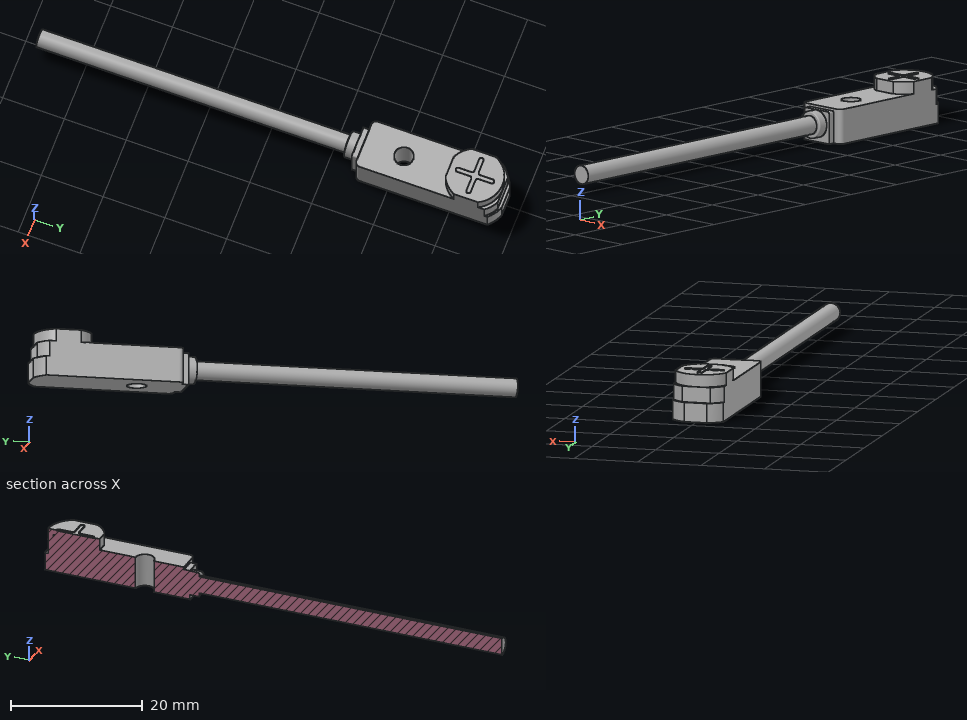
import cadquery as cq

body_width = 8.0
body_length = 23.0
body_height = 5.4
overall_length = 75.5
overall_height = 7.3

head_center_y = -5.0
lower_tip_height = 3.0
lower_tip_radius = 5.3
upper_tip_setback = 0.5
upper_tip_radius = 5.0
rear_corner_radius = 0.8

head_radius = 4.45
head_rear_y = -9.1

cross_length = 6.2
cross_slot_width = 0.7
cross_inner_fillet = 0.35
cross_depth = 0.1

hole_diameter = 3.0
hole_y = -16.5

collar_width = 5.2
collar_height = 5.0
collar_length = 1.0
collar_fillet = 0.3
cable_axis_z = 2.85
sleeve_diameter = 4.2
sleeve_length = 1.5
sleeve_fillet = 0.2
cable_diameter = 2.9

collar_start_y = -body_length
sleeve_start_y = collar_start_y - collar_length
cable_start_y = sleeve_start_y - sleeve_length
cable_length = overall_length + cable_start_y


def box(width, front_y, rear_y, bottom_z, top_z):
    """Box centered on X, from front_y back to rear_y."""
    length = front_y - rear_y
    height = top_z - bottom_z
    return (
        cq.Workplane("XY")
        .box(width, length, height, centered=(True, False, False))
        .translate((0, rear_y, bottom_z))
    )


def head_disc(radius, bottom_z, top_z):
    """Upright disc about the head axis."""
    return (
        cq.Workplane("XY", origin=(0, head_center_y, bottom_z))
        .circle(radius)
        .extrude(top_z - bottom_z)
    )


def rounded_tip_slab(tip_y, tip_radius, bottom_z, top_z):
    """Body layer whose front corners follow an arc about the head axis."""
    straight = box(body_width, head_center_y, -body_length, bottom_z, top_z)
    tip = box(body_width, tip_y, head_center_y, bottom_z, top_z)
    slab = straight.union(tip.intersect(head_disc(tip_radius, bottom_z, top_z)))
    return slab.edges("|Z and <Y").fillet(rear_corner_radius)


def make_body():
    lower = rounded_tip_slab(0, lower_tip_radius, 0, lower_tip_height)
    upper = rounded_tip_slab(-upper_tip_setback, upper_tip_radius, lower_tip_height, body_height)
    return lower.union(upper)


def make_head():
    disc = head_disc(head_radius, body_height, overall_height)
    return disc.intersect(box(body_width, 0, head_rear_y, body_height, overall_height))


def make_cross_groove():
    groove = cq.Workplane("XY", origin=(0, head_center_y, overall_height - cross_depth))
    along_x = groove.slot2D(cross_length, cross_slot_width).extrude(cross_depth)
    along_y = groove.slot2D(cross_length, cross_slot_width, 90).extrude(cross_depth)
    cross = along_x.union(along_y)
    inner_corners = cq.selectors.BoxSelector(
        (-cross_slot_width, head_center_y - cross_slot_width, 0),
        (cross_slot_width, head_center_y + cross_slot_width, overall_height),
    )
    return cross.edges("|Z").edges(inner_corners).fillet(cross_inner_fillet)


def make_mounting_hole():
    return (
        cq.Workplane("XY")
        .center(0, hole_y)
        .circle(hole_diameter / 2)
        .extrude(body_height)
    )


def make_collar():
    collar = box(collar_width, collar_start_y, sleeve_start_y, 0, collar_height)
    return collar.edges("|Y and >Z").fillet(collar_fillet)


def cable_cylinder(diameter, start_y, length):
    """Cylinder on the cable axis, running from start_y towards -Y."""
    return (
        cq.Workplane("XZ", origin=(0, start_y, cable_axis_z))
        .circle(diameter / 2)
        .extrude(length)
    )


def make_sleeve():
    sleeve = cable_cylinder(sleeve_diameter, sleeve_start_y, sleeve_length)
    return sleeve.faces("<Y").edges().fillet(sleeve_fillet)


result = (
    make_body()
    .union(make_head())
    .union(make_collar())
    .union(make_sleeve())
    .union(cable_cylinder(cable_diameter, cable_start_y, cable_length))
    .cut(make_mounting_hole())
    .cut(make_cross_groove())
)